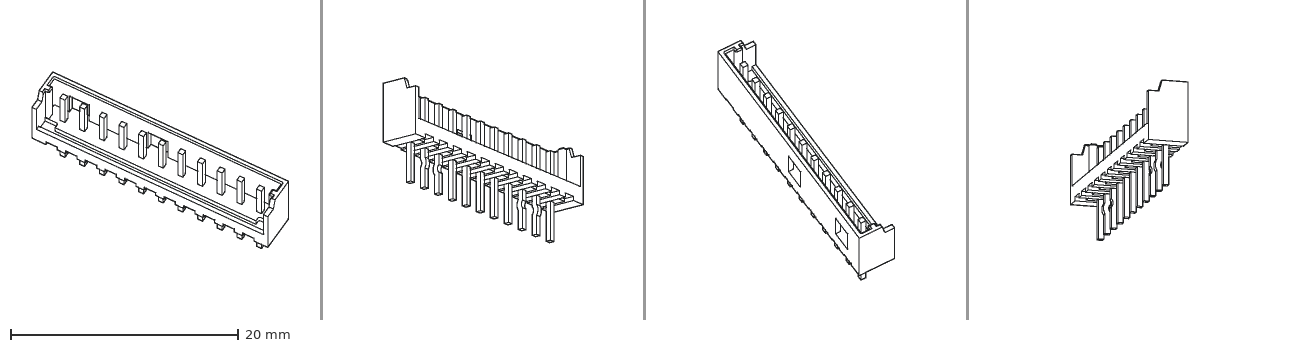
import cadquery as cq


LENGTH = 24.0
DEPTH = 3.65
HEIGHT = 5.5
HALF_LENGTH = LENGTH / 2

FLOOR_Z = 1.58
END_WALL = 0.45
BACK_WALL = 0.5
RIM_CHAMFER = 0.15
MOUTH_CORNER_RADIUS = 0.17

RIB_REACH = 0.38
RIB_BACK_Y = DEPTH - 1.37
RIB_FRONT_Y = DEPTH - 2.1

SHOULDER_DROP = 1.0
SHOULDER_TOP_Y = DEPTH - 2.38
SHOULDER_FOOT_Y = DEPTH - 2.66

SILL_THICKNESS = 0.4
TRENCH_DEPTH = 0.5
TRENCH_BACK_Y = DEPTH - 2.66
TRENCH_END_BACK_Y = DEPTH - 2.14
TRENCH_END_LENGTH = 1.32
TRENCH_CORNER_RADIUS = 0.17

PIN_COUNT = 11
PITCH = LENGTH / (PIN_COUNT + 1)
PIN_SIZE = 0.5
PIN_Y = DEPTH - 1.5
PIN_TOP_Z = HEIGHT - 0.65
PIN_TAIL = 3.5

FRONT_KINKED_PINS = (1, 9)
BACK_KINKED_PINS = (2, 8)
KINK_Z = -1.22
KINK_OFFSET = 0.15
KINK_OUTER_HALF = 0.5
KINK_INNER_HALF = 0.35

WINDOW_TOP_Z = HEIGHT - 1.65
WINDOW_START_PINS = (0, 4)

RELIEF_WIDTH = 1.15
RELIEF_HEIGHT = 0.15
RELIEF_FRONT_HEIGHT = 0.38
RELIEF_FRONT_DEPTH = 1.0


def pin_x(index):
    return (index + 1) * PITCH - HALF_LENGTH


def box_between(x_range, y_range, z_range):
    sizes = [high - low for low, high in (x_range, y_range, z_range)]
    return (
        cq.Workplane("XY")
        .box(*sizes, centered=False)
        .translate((x_range[0], y_range[0], z_range[0]))
    )


def make_block():
    """Housing block with the lowered front shoulders, extruded along X."""
    shoulder_z = HEIGHT - SHOULDER_DROP
    profile = [
        (0, 0),
        (DEPTH, 0),
        (DEPTH, HEIGHT),
        (SHOULDER_TOP_Y, HEIGHT),
        (SHOULDER_FOOT_Y, shoulder_z),
        (0, shoulder_z),
    ]
    return cq.Workplane("YZ").polyline(profile).close().extrude(HALF_LENGTH, both=True)


def mouth_sketch():
    """Plan outline of the cavity where it meets the top face, run out past the open front."""
    wall_x = HALF_LENGTH - END_WALL + RIM_CHAMFER
    rib_x = wall_x - RIB_REACH
    front_y = -DEPTH
    back_y = DEPTH - BACK_WALL + RIM_CHAMFER
    rib_front_y = RIB_FRONT_Y + RIM_CHAMFER
    rib_back_y = RIB_BACK_Y - RIM_CHAMFER
    right_side = [
        (wall_x, front_y),
        (wall_x, rib_front_y),
        (rib_x, rib_front_y),
        (rib_x, rib_back_y),
        (wall_x, rib_back_y),
        (wall_x, back_y),
    ]
    left_side = [(-x, y) for x, y in reversed(right_side)]
    corners = right_side + left_side
    outline = cq.Sketch().polygon(corners + corners[:1])
    return outline.vertices(">Y").fillet(MOUTH_CORNER_RADIUS)


def make_cavity():
    """Cavity whose walls step in below the chamfered rim, which rounds the rib edges."""
    mouth = cq.Workplane("XY", origin=(0, 0, HEIGHT)).placeSketch(mouth_sketch())
    rim = mouth.extrude(-RIM_CHAMFER, taper=45)
    shaft_height = HEIGHT - RIM_CHAMFER - FLOOR_Z
    shaft_top = rim.faces("<Z").wires().toPending().workplane()
    return rim.union(shaft_top.extrude(shaft_height, combine=False))


def make_trench():
    inner_x = HALF_LENGTH - END_WALL
    z_range = (FLOOR_Z - TRENCH_DEPTH, FLOOR_Z)
    trench = box_between((-inner_x, inner_x), (SILL_THICKNESS, TRENCH_BACK_Y), z_range)
    step_x = inner_x - TRENCH_END_LENGTH
    y_range = (SILL_THICKNESS, TRENCH_END_BACK_Y)
    right_end = box_between((step_x, inner_x), y_range, z_range)
    right_end = right_end.edges("|Z and <X and >Y").fillet(TRENCH_CORNER_RADIUS)
    return trench.union(right_end).union(right_end.mirror("YZ"))


def make_window(start_pin):
    x_range = (pin_x(start_pin), pin_x(start_pin + 1))
    return box_between(x_range, (PIN_Y, DEPTH), (FLOOR_Z, WINDOW_TOP_Z))


def make_relief(index):
    x_range = (pin_x(index) - RELIEF_WIDTH / 2, pin_x(index) + RELIEF_WIDTH / 2)
    channel = box_between(x_range, (0, DEPTH), (0, RELIEF_HEIGHT))
    front = box_between(x_range, (0, RELIEF_FRONT_DEPTH), (0, RELIEF_FRONT_HEIGHT))
    return channel.union(front)


def make_straight_pin():
    half = PIN_SIZE / 2
    return box_between((-half, half), (-half, half), (-PIN_TAIL, PIN_TOP_Z))


def make_front_kinked_pin():
    """Pin whose tail bows toward the front."""
    half = PIN_SIZE / 2
    return (
        cq.Workplane("YZ")
        .moveTo(-half, -PIN_TAIL)
        .lineTo(-half, KINK_Z - KINK_OUTER_HALF)
        .threePointArc((-half - KINK_OFFSET, KINK_Z), (-half, KINK_Z + KINK_OUTER_HALF))
        .lineTo(-half, PIN_TOP_Z)
        .lineTo(half, PIN_TOP_Z)
        .lineTo(half, KINK_Z + KINK_INNER_HALF)
        .threePointArc((half - KINK_OFFSET, KINK_Z), (half, KINK_Z - KINK_INNER_HALF))
        .lineTo(half, -PIN_TAIL)
        .close()
        .extrude(half, both=True)
    )


def make_pin(index):
    if index in FRONT_KINKED_PINS:
        pin = make_front_kinked_pin()
    elif index in BACK_KINKED_PINS:
        pin = make_front_kinked_pin().mirror("XZ")
    else:
        pin = make_straight_pin()
    return pin.translate((pin_x(index), PIN_Y, 0))


result = make_block().cut(make_cavity()).cut(make_trench())
for start_pin in WINDOW_START_PINS:
    result = result.cut(make_window(start_pin))
for index in range(PIN_COUNT):
    result = result.cut(make_relief(index))
for index in range(PIN_COUNT):
    result = result.union(make_pin(index))